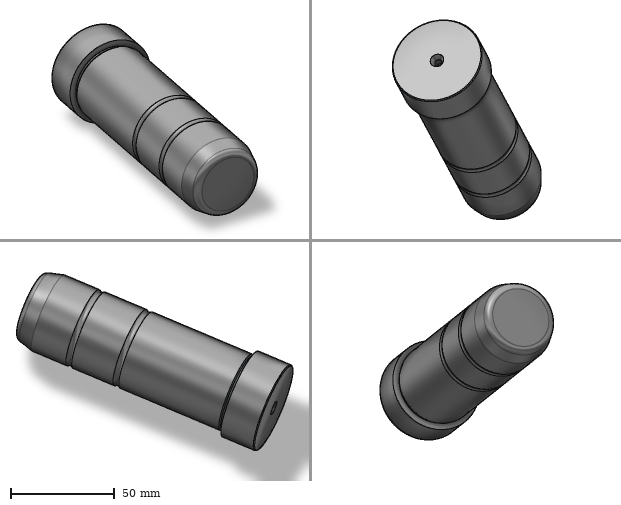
import cadquery as cq
import math

length = 130.0
head_radius = 22.5
head_length = 17.8
head_chamfer = 0.5
shaft_radius = 20.0

relief_depth = 0.8
relief_end = 19.4
relief_runout_end = 20.0

groove_centres = (74.9, 100.0)
groove_half_width = 1.5
groove_depth = 0.72

taper_length = 10.0
taper_angle = math.radians(15)
nose_radius = 3.6

centre_mouth_radius = 3.4
centre_pilot_radius = 1.8
countersink_half_angle = math.radians(30)
pilot_length = 3.9
drill_tip_half_angle = math.radians(59)


def lead_in_radius(x):
    """Radius of the conical lead-in at position x."""
    return shaft_radius - (x - (length - taper_length)) * math.tan(taper_angle)


def make_pillar():
    """Revolve the outer profile, including the undercut and the grooves."""
    relief_radius = shaft_radius - relief_depth
    profile = (
        cq.Workplane("XY")
        .lineTo(0, head_radius - head_chamfer)
        .lineTo(head_chamfer, head_radius)
        .lineTo(head_length, head_radius)
        .lineTo(head_length, relief_radius)
        .lineTo(relief_end, relief_radius)
        .lineTo(relief_runout_end, shaft_radius)
    )
    for centre in groove_centres:
        profile = profile.lineTo(centre - groove_half_width, shaft_radius).threePointArc(
            (centre, shaft_radius - groove_depth),
            (centre + groove_half_width, shaft_radius),
        )

    arc_x = length - nose_radius
    arc_r = lead_in_radius(arc_x) - nose_radius / math.cos(taper_angle)

    def nose_point(angle):
        return (arc_x + nose_radius * math.cos(angle), arc_r + nose_radius * math.sin(angle))

    cone_tangent_angle = math.pi / 2 - taper_angle
    profile = (
        profile.lineTo(length - taper_length, shaft_radius)
        .lineTo(*nose_point(cone_tangent_angle))
        .threePointArc(nose_point(cone_tangent_angle / 2), nose_point(0))
        .lineTo(length, 0)
        .close()
    )
    return profile.revolve(360, (0, 0, 0), (1, 0, 0))


def make_centre_drilling():
    """Countersink, pilot bore and conical drill tip."""
    countersink_depth = (centre_mouth_radius - centre_pilot_radius) / math.tan(countersink_half_angle)
    pilot_end = countersink_depth + pilot_length
    tip_length = centre_pilot_radius / math.tan(drill_tip_half_angle)
    return (
        cq.Workplane("XY")
        .lineTo(0, centre_mouth_radius)
        .lineTo(countersink_depth, centre_pilot_radius)
        .lineTo(pilot_end, centre_pilot_radius)
        .lineTo(pilot_end + tip_length, 0)
        .close()
        .revolve(360, (0, 0, 0), (1, 0, 0))
    )


result = make_pillar().cut(make_centre_drilling())